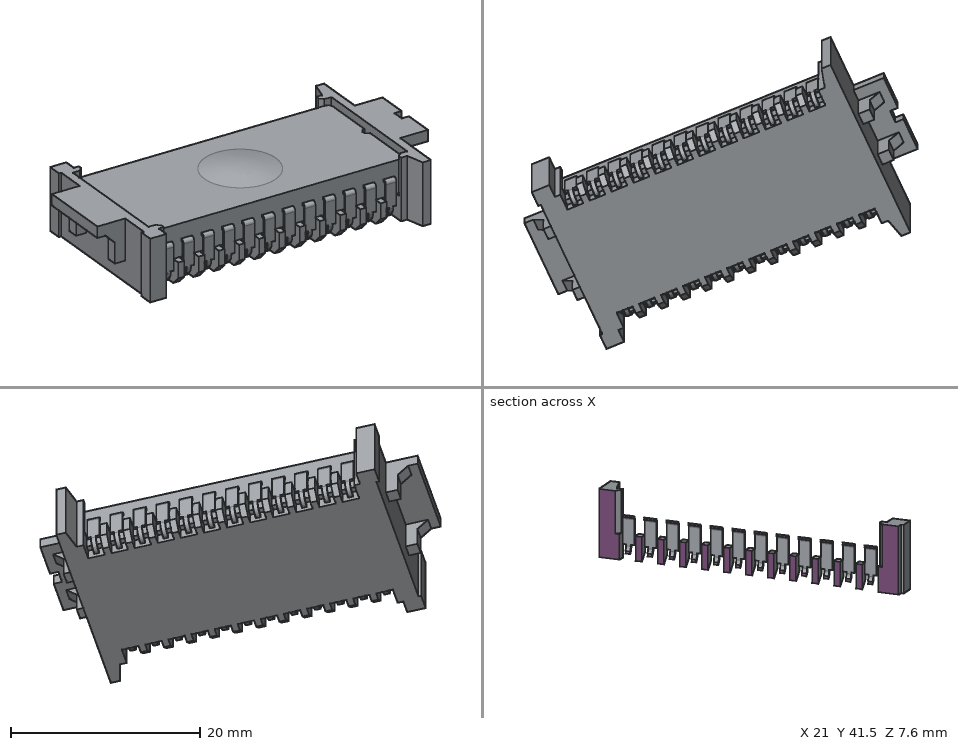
import cadquery as cq
import math

LEADS_PER_ROW = 12
ROW_LENGTH = 27.95
LEAD_PITCH = ROW_LENGTH / (LEADS_PER_ROW - 1)
SEAT_Z = 2.85

CHIP_WIDTH = 14.7
CHIP_LENGTH = 31.95
CHIP_TOP_Z = 6.85
CHIP_CORNER = 0.4
INDEX_NOTCH_RADIUS = 0.55
LENS_RADIUS = 4.5
LENS_HEIGHT = 0.55

LEAD_OUTER_X = 7.85
LEAD_TOP_Z = 5.02
LEAD_THICKNESS = 0.25
LEAD_WIDTH = 1.33
LEAD_SHOULDER_Z = 1.75
LEAD_BEND_RADIUS = 0.4
TIP_WIDTH = 0.55
TIP_BOTTOM_Z = 0.5
TIP_BEND_RADIUS = 1.12
TIP_BEND_X = LEAD_OUTER_X - TIP_BEND_RADIUS

LENGTH = 41.5
HEIGHT = 7.6
END_CLEARANCE = 0.25
SIDE_CLEARANCE = 0.1
SIDE_WALL_X = 7.05
STEP_Z = 1.3
STEP_X = 6.48

POST_OUTER_X = 8.35
POST_WIDTH = 0.75
POST_CHAMFER = 1.0

POCKET_X = CHIP_WIDTH / 2 + SIDE_CLEARANCE
POCKET_Y = CHIP_LENGTH / 2 + END_CLEARANCE
ARM_OUTER_X = POST_OUTER_X
ARM_END_Y = 14.9
ARM_CHAMFER = 0.45
END_WALL_Y = 17.27
WING_X = 10.5
WING_ROOT_Y = 15.65
EAR_OUTER_X = 9.85
EAR_INNER_X = 8.1
EAR_INNER_Y = 15.53
EAR_OUTER_Y = 17.55

TAB_WIDTH = 8.93
TAB_THICKNESS = 1.35
TAB_NOTCH_WIDTH = 1.4
TAB_NOTCH_DEPTH = 0.9
RIB_WIDTH = 1.3
RIB_Y = 18.55
RIB_BOTTOM_Z = 2.57
RIB_SLOPE = 1.15
NOTCHED_TAB_RIB_INSET = 1.3


def block(x0, x1, y0, y1, z0, z1):
    """Axis-aligned box between two opposite corners."""
    return cq.Workplane("XY").box(x1 - x0, y1 - y0, z1 - z0, centered=False).translate((x0, y0, z0))


def mirrored_prism(half_outline, z0, z1):
    """Upright prism, symmetric in X; its +X half outline starts and ends on the Y axis."""
    half = cq.Workplane("XY", origin=(0, 0, z0)).polyline(half_outline).close().extrude(z1 - z0)
    return half.union(half.mirror("YZ"))


def lens():
    """Shallow spherical cap on top of the chip."""
    ball_radius = (LENS_RADIUS**2 + LENS_HEIGHT**2) / (2 * LENS_HEIGHT)
    ball_z = CHIP_TOP_Z + LENS_HEIGHT - ball_radius
    half_angle = math.asin(LENS_RADIUS / ball_radius) / 2
    middle = (ball_radius * math.sin(half_angle), ball_z + ball_radius * math.cos(half_angle))
    return (
        cq.Workplane("XZ")
        .moveTo(0, SEAT_Z)
        .lineTo(LENS_RADIUS, SEAT_Z)
        .lineTo(LENS_RADIUS, CHIP_TOP_Z)
        .threePointArc(middle, (0, CHIP_TOP_Z + LENS_HEIGHT))
        .close()
        .revolve(360, (0, 0, 0), (0, 1, 0))
    )


def chip_body():
    body = block(
        -CHIP_WIDTH / 2, CHIP_WIDTH / 2, -CHIP_LENGTH / 2, CHIP_LENGTH / 2, SEAT_Z, CHIP_TOP_Z
    )
    body = body.edges("|Z").chamfer(CHIP_CORNER)
    notch = (
        cq.Workplane("XY", origin=(0, CHIP_LENGTH / 2, SEAT_Z))
        .circle(INDEX_NOTCH_RADIUS)
        .extrude(CHIP_TOP_Z - SEAT_Z)
    )
    return body.cut(notch).union(lens())


def lead():
    """One +X lead at Y = 0: out of the chip, bent down, then a narrow tip bent inward."""
    sin45 = math.sin(math.radians(45))
    inner_x = LEAD_OUTER_X - LEAD_THICKNESS
    upper_bend_x = LEAD_OUTER_X - LEAD_BEND_RADIUS
    upper_bend_z = LEAD_TOP_Z - LEAD_BEND_RADIUS
    tip_bend_z = TIP_BOTTOM_Z + TIP_BEND_RADIUS
    upper_inner_radius = LEAD_BEND_RADIUS - LEAD_THICKNESS
    tip_inner_radius = TIP_BEND_RADIUS - LEAD_THICKNESS

    def bend_point(center_x, center_z, radius, up):
        """Middle of a quarter bend on the outer side, above (up = 1) or below (up = -1) its center."""
        return (center_x + radius * sin45, center_z + up * radius * sin45)

    strip = (
        cq.Workplane("XZ")
        .moveTo(CHIP_WIDTH / 2, LEAD_TOP_Z)
        .lineTo(upper_bend_x, LEAD_TOP_Z)
        .threePointArc(
            bend_point(upper_bend_x, upper_bend_z, LEAD_BEND_RADIUS, 1), (LEAD_OUTER_X, upper_bend_z)
        )
        .lineTo(LEAD_OUTER_X, tip_bend_z)
        .threePointArc(bend_point(TIP_BEND_X, tip_bend_z, TIP_BEND_RADIUS, -1), (TIP_BEND_X, TIP_BOTTOM_Z))
        .lineTo(STEP_X, TIP_BOTTOM_Z)
        .lineTo(STEP_X, TIP_BOTTOM_Z + LEAD_THICKNESS)
        .lineTo(TIP_BEND_X, TIP_BOTTOM_Z + LEAD_THICKNESS)
        .threePointArc(bend_point(TIP_BEND_X, tip_bend_z, tip_inner_radius, -1), (inner_x, tip_bend_z))
        .lineTo(inner_x, upper_bend_z)
        .threePointArc(
            bend_point(upper_bend_x, upper_bend_z, upper_inner_radius, 1),
            (upper_bend_x, LEAD_TOP_Z - LEAD_THICKNESS),
        )
        .lineTo(CHIP_WIDTH / 2, LEAD_TOP_Z - LEAD_THICKNESS)
        .close()
        .extrude(LEAD_WIDTH / 2, both=True)
    )
    beside_tip = block(0, LEAD_OUTER_X, TIP_WIDTH / 2, LEAD_WIDTH / 2, 0, LEAD_SHOULDER_Z)
    return strip.cut(beside_tip).cut(beside_tip.mirror("XZ"))


def make_chip():
    chip = chip_body()
    right_lead = lead()
    left_lead = right_lead.mirror("YZ")
    for index in range(LEADS_PER_ROW):
        y = (index - (LEADS_PER_ROW - 1) / 2) * LEAD_PITCH
        chip = chip.union(right_lead.translate((0, y, 0))).union(left_lead.translate((0, y, 0)))
    return chip


def socket_base():
    lower = block(-STEP_X, STEP_X, -POCKET_Y, POCKET_Y, 0, STEP_Z)
    upper = block(-SIDE_WALL_X, SIDE_WALL_X, -POCKET_Y, POCKET_Y, STEP_Z, SEAT_Z)
    return lower.union(upper)


def winged_wall():
    """+Y end wall, with wings that taper outward."""
    half = [
        (0, END_WALL_Y),
        (WING_X, END_WALL_Y),
        (WING_X, POCKET_Y),
        (ARM_OUTER_X, WING_ROOT_Y),
        (ARM_OUTER_X, ARM_END_Y),
        (0, ARM_END_Y),
    ]
    return mirrored_prism(half, 0, HEIGHT)


def eared_wall():
    """-Y end wall, with a square ear at each end."""
    half = [
        (0, -END_WALL_Y),
        (EAR_INNER_X, -END_WALL_Y),
        (EAR_INNER_X, -EAR_OUTER_Y),
        (EAR_OUTER_X, -EAR_OUTER_Y),
        (EAR_OUTER_X, -EAR_INNER_Y),
        (ARM_OUTER_X, -EAR_INNER_Y),
        (ARM_OUTER_X, -ARM_END_Y),
        (0, -ARM_END_Y),
    ]
    return mirrored_prism(half, 0, HEIGHT)


def chip_pocket():
    """Space for the chip above the seat, flared at the ends of the corner arms."""
    half = [
        (0, POCKET_Y),
        (POCKET_X, POCKET_Y),
        (POCKET_X, ARM_END_Y + ARM_CHAMFER),
        (POCKET_X + ARM_CHAMFER, ARM_END_Y),
    ]
    outline = half + [(x, -y) for x, y in reversed(half)]
    return mirrored_prism(outline, SEAT_Z, HEIGHT)


def post():
    """One +X post at Y = 0, chamfered underneath."""
    return (
        cq.Workplane("XZ")
        .polyline(
            [
                (0, 0),
                (POST_OUTER_X - POST_CHAMFER, 0),
                (POST_OUTER_X, POST_CHAMFER),
                (POST_OUTER_X, SEAT_Z),
                (0, SEAT_Z),
            ]
        )
        .close()
        .extrude(POST_WIDTH / 2, both=True)
    )


def finger_tab(rib_inset):
    """Tab on the +Y end, with two sloped ribs set in from its sides."""
    tab_z = HEIGHT - TAB_THICKNESS
    tab = block(-TAB_WIDTH / 2, TAB_WIDTH / 2, END_WALL_Y, LENGTH / 2, tab_z, HEIGHT)
    rib = (
        cq.Workplane("YZ", origin=(TAB_WIDTH / 2 - rib_inset - RIB_WIDTH, 0, 0))
        .polyline(
            [
                (END_WALL_Y, RIB_BOTTOM_Z),
                (RIB_Y, RIB_BOTTOM_Z),
                (RIB_Y, tab_z - RIB_SLOPE),
                (RIB_Y + RIB_SLOPE, tab_z),
                (END_WALL_Y, tab_z),
            ]
        )
        .close()
        .extrude(RIB_WIDTH)
    )
    return tab.union(rib).union(rib.mirror("YZ"))


def tab_notch():
    return block(
        -TAB_NOTCH_WIDTH / 2, TAB_NOTCH_WIDTH / 2, LENGTH / 2 - TAB_NOTCH_DEPTH, LENGTH / 2, 0, HEIGHT
    )


def make_socket():
    socket = socket_base().union(winged_wall()).union(eared_wall()).cut(chip_pocket())
    right_post = post()
    left_post = right_post.mirror("YZ")
    post_count = LEADS_PER_ROW - 1
    for index in range(post_count):
        y = (index - (post_count - 1) / 2) * LEAD_PITCH
        socket = socket.union(right_post.translate((0, y, 0))).union(left_post.translate((0, y, 0)))
    notched_tab = finger_tab(NOTCHED_TAB_RIB_INSET).cut(tab_notch())
    plain_tab = finger_tab(0).mirror("XZ")
    return socket.union(notched_tab).union(plain_tab)


chip = make_chip()
socket = make_socket()
result = cq.Compound.makeCompound([chip.val(), socket.val()])